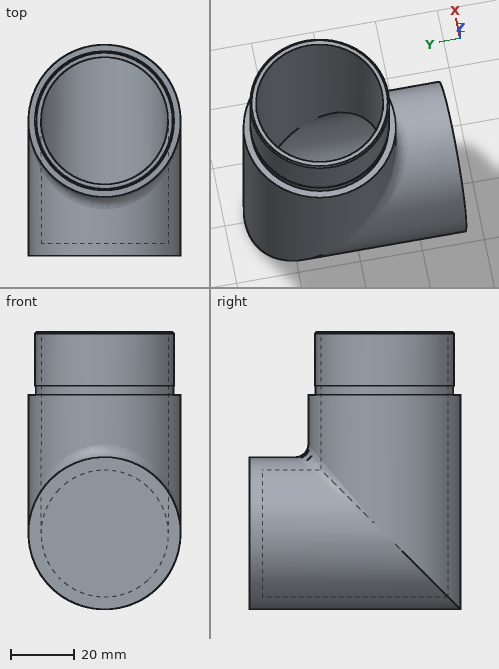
import cadquery as cq


body_diameter = 48.3
spigot_diameter = 44.2
groove_diameter = 43.8
bore_diameter = 40.3
overall_height = 88.0
overall_depth = 67.0
spigot_length = 20.0
groove_width = 3.0
spigot_chamfer = 0.5
throat_radius = 4.0

body_radius = body_diameter / 2
wall = (body_diameter - bore_diameter) / 2
top_z = overall_height - body_radius
shoulder_z = top_z - spigot_length
front_reach = overall_depth - body_radius


def upright_rod(diameter, bottom_z, end_z):
    """Cylinder along the Z axis."""
    return cq.Workplane("XY", origin=(0, 0, bottom_z)).circle(diameter / 2).extrude(end_z - bottom_z)


def forward_rod(diameter, back_y, reach):
    """Cylinder along the Y axis, from back_y to -reach."""
    return cq.Workplane("XZ", origin=(0, back_y, 0)).circle(diameter / 2).extrude(back_y + reach)


def mitred_elbow(diameter, up_length, front_length, throat_fillet=0):
    """Rods up +Z and along -Y, meeting in a 45 degree mitre, with an optional fillet in the throat."""
    radius = diameter / 2
    legs = upright_rod(diameter, 0, up_length).union(forward_rod(diameter, 0, front_length))
    if throat_fillet > 0:
        throat_edge = cq.NearestToPointSelector((0, -radius, radius))
        legs = legs.edges(throat_edge).fillet(throat_fillet)
    corner = upright_rod(diameter, -radius, radius).intersect(forward_rod(diameter, radius, radius))
    return legs.union(corner).clean()


def spigot():
    """Sleeve with a chamfered rim, set off from the shoulder by a shallow groove."""
    sleeve_start = shoulder_z + groove_width
    groove = upright_rod(groove_diameter, shoulder_z, sleeve_start)
    sleeve = upright_rod(spigot_diameter, sleeve_start, top_z).faces(">Z").chamfer(spigot_chamfer)
    return groove.union(sleeve)


body = mitred_elbow(body_diameter, shoulder_z, front_reach, throat_radius)

bore = mitred_elbow(bore_diameter, top_z, front_reach - wall)

result = body.union(spigot()).cut(bore)